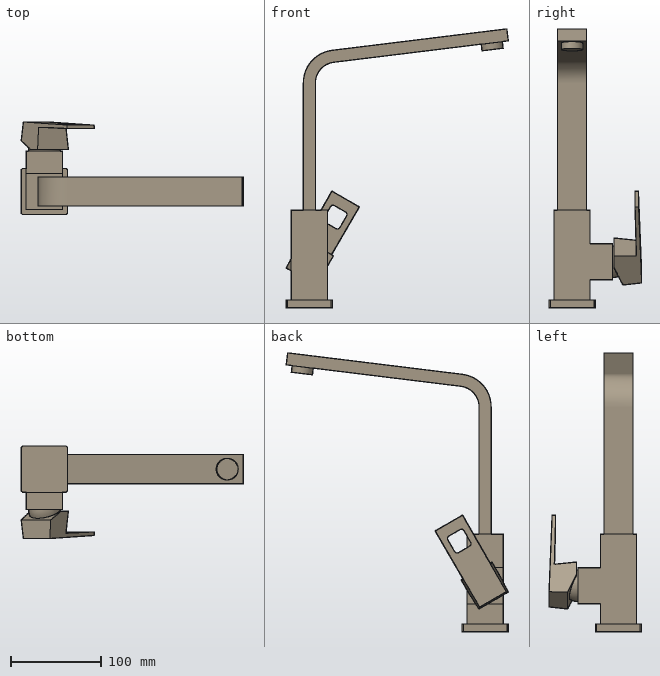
import cadquery as cq
import math

foot_width = 51.5
foot_height = 9.0
foot_corner_chamfer = 1.5
body_width = 40.2
body_top = 108.3

spout_thickness = 13.5
spout_width = 32.5
spout_top = 309.5
spout_reach = 220.5
spout_rise_angle = 7.0
bend_outer_radius = 36.5

aerator_diameter = 23.8
aerator_length = 7.5
aerator_setback = 18.5

neck_end = 45.0
pivot_height = 51.0
ball_diameter = 35.3

lever_tilt = 30.0
lever_inner_y = 46.5
lever_outer_y = 77.0
lever_inner_half_width = 19.8
lever_outer_half_width = 17.0
block_top_inner = 19.2
block_top_outer = 17.5
block_bottom_inner = -19.0
block_bottom_outer = -17.3
bevel_height = 22.3
bevel_depth = 10.0
lever_tip = 80.5
plate_root_y = 71.2
plate_tip_inner_y = 69.5
plate_tip_outer_y = 73.5
root_fillet = 1.2
window_bottom = 46.7
window_top = 67.8
window_width = 20.5
window_corner_radius = 3.0


def make_body():
    foot = (
        cq.Workplane("XY")
        .rect(foot_width, foot_width)
        .extrude(foot_height)
        .edges("|Z")
        .chamfer(foot_corner_chamfer)
    )
    column = cq.Workplane("XY").rect(body_width, body_width).extrude(body_top)
    neck = (
        cq.Workplane("XZ", origin=(0, 0, pivot_height))
        .rect(body_width, body_width)
        .extrude(-neck_end)
    )
    ball = cq.Workplane("XY").sphere(ball_diameter / 2).translate((0, neck_end, pivot_height))
    return foot.union(column).union(neck).union(ball)


def make_spout():
    rise = math.radians(spout_rise_angle)
    along = cq.Vector(math.cos(rise), 0, math.sin(rise))
    down = cq.Vector(math.sin(rise), 0, -math.cos(rise))

    upper_end = cq.Vector(spout_reach - spout_thickness * down.x, 0, spout_top)
    lower_end = upper_end + down * spout_thickness

    back = -spout_thickness / 2
    center_x = back + bend_outer_radius
    center_z = (
        spout_top
        - (upper_end.x - center_x) * math.tan(rise)
        - bend_outer_radius / math.cos(rise)
    )
    arm_angle = math.pi / 2 + rise
    middle_angle = (math.pi + arm_angle) / 2

    def bend_point(radius, angle):
        return (center_x + radius * math.cos(angle), center_z + radius * math.sin(angle))

    inner_radius = bend_outer_radius - spout_thickness
    bar = (
        cq.Workplane("XZ")
        .moveTo(back, body_top)
        .lineTo(back, center_z)
        .threePointArc(
            bend_point(bend_outer_radius, middle_angle),
            bend_point(bend_outer_radius, arm_angle),
        )
        .lineTo(upper_end.x, upper_end.z)
        .lineTo(lower_end.x, lower_end.z)
        .lineTo(*bend_point(inner_radius, arm_angle))
        .threePointArc(bend_point(inner_radius, middle_angle), bend_point(inner_radius, math.pi))
        .lineTo(-back, body_top)
        .close()
        .extrude(spout_width / 2, both=True)
    )
    aerator_center = lower_end - along * aerator_setback
    aerator = (
        cq.Workplane(cq.Plane(origin=aerator_center, xDir=along, normal=down))
        .circle(aerator_diameter / 2)
        .extrude(aerator_length)
    )
    return bar.union(aerator)


def make_lever():
    profile = (
        cq.Workplane("YZ")
        .polyline([
            (lever_inner_y, block_top_inner),
            (plate_root_y, block_top_outer),
            (plate_tip_inner_y, lever_tip),
            (plate_tip_outer_y, lever_tip),
            (lever_outer_y, block_bottom_outer),
            (lever_inner_y + bevel_depth, block_bottom_inner),
            (lever_inner_y, block_bottom_inner + bevel_height),
        ])
        .close()
        .extrude(lever_inner_half_width, both=True)
    )
    root_edge = cq.selectors.NearestToPointSelector((0, plate_root_y, block_top_outer))
    profile = profile.edges("|X").edges(root_edge).fillet(root_fillet)

    tapered_sides = (
        cq.Workplane("XY")
        .polyline([
            (-lever_inner_half_width, lever_inner_y),
            (lever_inner_half_width, lever_inner_y),
            (lever_outer_half_width, lever_outer_y),
            (-lever_outer_half_width, lever_outer_y),
        ])
        .close()
        .extrude(lever_tip, both=True)
    )
    window = (
        cq.Workplane("XY")
        .box(window_width, lever_outer_y, window_top - window_bottom)
        .edges("|Y")
        .fillet(window_corner_radius)
        .translate((0, lever_outer_y, (window_bottom + window_top) / 2))
    )
    lever = profile.intersect(tapered_sides).cut(window)
    return lever.rotate((0, 0, 0), (0, 1, 0), lever_tilt).translate((0, 0, pivot_height))


result = make_body().union(make_spout()).union(make_lever())